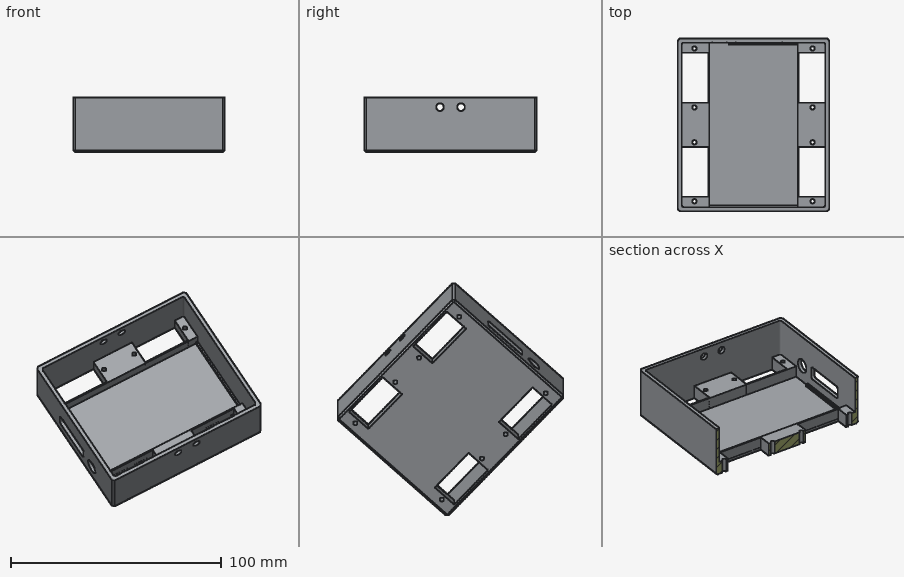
import cadquery as cq

LENGTH_X = 72.0
LENGTH_Y = 82.0
HEIGHT = 26.0
WALL = 2.0
EDGE_CHAMFER = 1.0
INNER_CORNER_RADIUS = 1.0
INNER_X = LENGTH_X - 2 * WALL
INNER_Y = LENGTH_Y - 2 * WALL

FLOOR = 1.15
SHELF_TOP = 7.0
RECESS_WIDTH = 42.0

RIB = 0.6
OPENING_INNER_Y = 10.6
OPENING_OUTER_Y = 34.1

SCREW_DIAMETER = 2.0
SCREW_X = 28.05
SCREW_INNER_Y = 8.3
SCREW_OUTER_Y = 36.25

LEDGE_DEPTH = 1.0
LEDGE_TOP = 2.5
BACK_LEDGE_CHAMFER = 0.5
BACK_LEDGE_START_X = -11.7

CABLE_DIAMETER = 3.5
CABLE_Y = 5.0
CABLE_Z = HEIGHT - 4.6

ROUND_PORT_DIAMETER = 7.0
ROUND_PORT_X = -16.1
ROUND_PORT_Z = 9.75
PORT_WIDTH = 22.1
PORT_HEIGHT = 6.6
PORT_X = 2.6
PORT_Z = 10.0
PORT_CORNER_RADIUS = 1.2


def block(x_min, x_max, y_min, y_max, z_min, z_max):
    """Axis-aligned block given by its limits."""
    size = (x_max - x_min, y_max - y_min, z_max - z_min)
    return cq.Workplane("XY").box(*size, centered=False).translate((x_min, y_min, z_min))


def make_tray():
    """Outer box, upper cavity and central recess."""
    body = cq.Workplane("XY").box(LENGTH_X, LENGTH_Y, HEIGHT, centered=(True, True, False))
    body = body.edges("|Z").chamfer(EDGE_CHAMFER)
    body = body.faces("<Z").chamfer(EDGE_CHAMFER)
    cavity = (
        cq.Workplane("XY", origin=(0, 0, SHELF_TOP))
        .rect(INNER_X, INNER_Y)
        .extrude(HEIGHT - SHELF_TOP)
        .edges("|Z")
        .fillet(INNER_CORNER_RADIUS)
    )
    half_width = RECESS_WIDTH / 2
    half_length = INNER_Y / 2
    recess = block(-half_width, half_width, -half_length, half_length, FLOOR, SHELF_TOP)
    return body.cut(cavity).cut(recess)


def add_ledges(body):
    """Low steps along the front and back ends of the recess."""
    half_width = RECESS_WIDTH / 2
    end_y = INNER_Y / 2
    front = block(-half_width, half_width, -end_y, LEDGE_DEPTH - end_y, FLOOR, LEDGE_TOP)
    back = block(BACK_LEDGE_START_X, half_width, end_y - LEDGE_DEPTH, end_y, FLOOR, LEDGE_TOP)
    back = back.faces(">Z").edges("<Y or <X").chamfer(BACK_LEDGE_CHAMFER)
    return body.union(front).union(back)


def cut_shelf_openings(body):
    """Four rectangular openings reaching from the side walls to the ribs."""
    inner_x = RECESS_WIDTH / 2 + RIB
    width = INNER_X / 2 - inner_x
    length = OPENING_OUTER_Y - OPENING_INNER_Y
    centre_x = inner_x + width / 2
    centre_y = OPENING_INNER_Y + length / 2
    centres = [(sx * centre_x, sy * centre_y) for sx in (-1, 1) for sy in (-1, 1)]
    openings = cq.Workplane("XY").pushPoints(centres).rect(width, length).extrude(SHELF_TOP)
    return body.cut(openings)


def cut_screw_holes(body):
    """Four through holes in each shelf."""
    rows = (-SCREW_OUTER_Y, -SCREW_INNER_Y, SCREW_INNER_Y, SCREW_OUTER_Y)
    centres = [(x, y) for x in (-SCREW_X, SCREW_X) for y in rows]
    holes = cq.Workplane("XY").pushPoints(centres).circle(SCREW_DIAMETER / 2).extrude(SHELF_TOP)
    return body.cut(holes)


def cut_cable_holes(body):
    """A pair of holes straight through both side walls."""
    centres = [(-CABLE_Y, CABLE_Z), (CABLE_Y, CABLE_Z)]
    holes = (
        cq.Workplane("YZ", origin=(-LENGTH_X / 2, 0, 0))
        .pushPoints(centres)
        .circle(CABLE_DIAMETER / 2)
        .extrude(LENGTH_X)
    )
    return body.cut(holes)


def cut_back_ports(body):
    """Round port and rounded rectangular port through the back wall."""
    outer_face = cq.Workplane("XZ", origin=(0, LENGTH_Y / 2, 0))
    round_port = (
        outer_face.center(ROUND_PORT_X, ROUND_PORT_Z).circle(ROUND_PORT_DIAMETER / 2).extrude(WALL)
    )
    rectangular_port = (
        outer_face.center(PORT_X, PORT_Z)
        .rect(PORT_WIDTH, PORT_HEIGHT)
        .extrude(WALL)
        .edges("|Y")
        .fillet(PORT_CORNER_RADIUS)
    )
    return body.cut(round_port).cut(rectangular_port)


result = make_tray()
result = add_ledges(result)
result = cut_shelf_openings(result)
result = cut_screw_holes(result)
result = cut_cable_holes(result)
result = cut_back_ports(result)